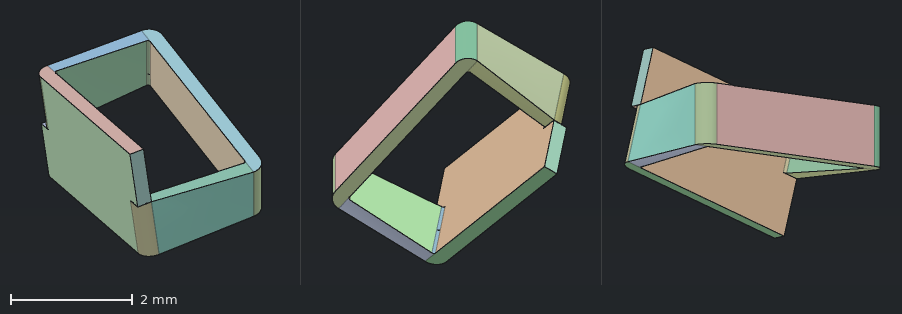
import cadquery as cq
import math

LENGTH = 3.81
DEPTH = 2.29
BAND_HEIGHT = 1.02
THICKNESS = 0.26
TILT = 15.0
REAR_RADIUS = 0.255
FRONT_RADIUS = 0.255
INNER_RADIUS = 0.045

cos_tilt = math.cos(math.radians(TILT))
sin_tilt = math.sin(math.radians(TILT))

plate_half_length = (LENGTH / 2 - BAND_HEIGHT * sin_tilt) / cos_tilt
front_y = -DEPTH / 2
rear_y = DEPTH / 2
plate_back_y = front_y + THICKNESS
bar_front_y = rear_y - THICKNESS


def tilted(along, up, y):
    """Point at a distance along and up in the tilted frame of the front plates."""
    return cq.Vector(along * cos_tilt - up * sin_tilt, y, along * sin_tilt + up * cos_tilt)


def rear_bar():
    bar = cq.Workplane("XY").box(LENGTH, THICKNESS, BAND_HEIGHT)
    bar = bar.edges("|Z and >Y").fillet(REAR_RADIUS)
    return bar.translate((0, rear_y - THICKNESS / 2, 0))


def upper_plate():
    plate = cq.Workplane("XY").box(2 * plate_half_length, THICKNESS, BAND_HEIGHT)
    plate = plate.translate((0, front_y + THICKNESS / 2, BAND_HEIGHT / 2))
    return plate.rotate((0, 0, 0), (0, 1, 0), -TILT)


def left_arm():
    """Twisting arm from the upright end of the bar to the tilted end of the upper plate."""
    outer = -plate_half_length
    inner = outer + THICKNESS
    front_corners = [
        tilted(outer, 0, plate_back_y),
        tilted(inner, 0, plate_back_y),
        tilted(inner, BAND_HEIGHT, plate_back_y),
        tilted(outer, BAND_HEIGHT, plate_back_y),
    ]
    rear_outer = -LENGTH / 2
    rear_inner = rear_outer + THICKNESS
    half_height = BAND_HEIGHT / 2
    rear_corners = [
        cq.Vector(rear_outer, bar_front_y, -half_height),
        cq.Vector(rear_inner, bar_front_y, -half_height),
        cq.Vector(rear_inner, bar_front_y, half_height),
        cq.Vector(rear_outer, bar_front_y, half_height),
    ]
    sections = [cq.Wire.makePolygon(corners, close=True) for corners in (front_corners, rear_corners)]
    return cq.Workplane(obj=cq.Solid.makeLoft(sections, True))


def fillet_nearest(body, point, radius):
    """Round the edge whose middle is nearest to the given point."""
    return body.edges(cq.selectors.NearestToPointSelector(point.toTuple())).fillet(radius)


def half_band():
    """Rear bar, left arm and upper plate with the corners of the arm rounded."""
    body = rear_bar().union(left_arm()).union(upper_plate())
    middle = BAND_HEIGHT / 2
    front_inner = tilted(THICKNESS - plate_half_length, middle, plate_back_y)
    rear_inner = cq.Vector(THICKNESS - LENGTH / 2, bar_front_y, 0)
    front_outer = tilted(-plate_half_length, middle, front_y)
    body = fillet_nearest(body, front_inner, INNER_RADIUS)
    body = fillet_nearest(body, rear_inner, INNER_RADIUS)
    return fillet_nearest(body, front_outer, FRONT_RADIUS)


upper_half = half_band()
lower_half = upper_half.rotate((0, 0, 0), (0, 1, 0), 180)
result = upper_half.union(lower_half)